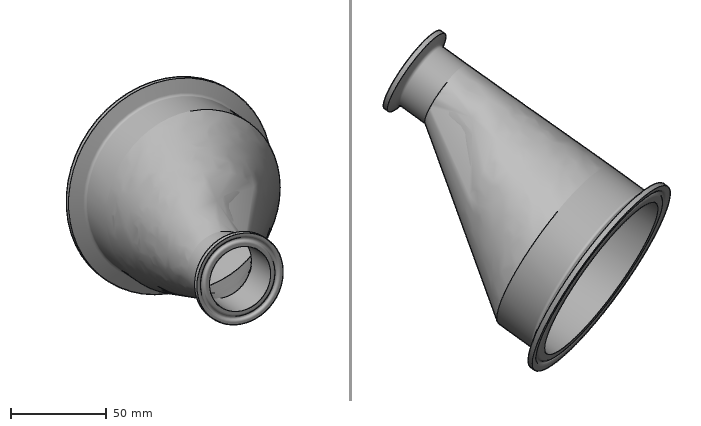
import cadquery as cq
import math

LENGTH = 149.0
LARGE_FERRULE_LENGTH = 30.1
LARGE_FLANGE_D = 119.0
LARGE_TUBE_D = 101.6
LARGE_BORE_D = 97.6
SMALL_FLANGE_D = 50.5
SMALL_TUBE_D = 38.1
SMALL_BORE_D = 35.8
SMALL_FERRULE_LENGTH = 22.6

RIM_THICKNESS = 2.8
CLAMP_ANGLE = math.radians(20)
NECK_FILLET = 2.0

LARGE_GROOVE_D = 109.2
SMALL_GROOVE_D = 43.5
GROOVE_FLOOR_RADIUS = 1.01
GROOVE_LIP_RADIUS = 1.25
GROOVE_WALL_ANGLE = math.radians(73)

SMALL_AXIS_Y = -(LARGE_TUBE_D - SMALL_TUBE_D) / 2


def gasket_groove(groove_d):
    """Ring cutter for the groove in the sealing face at X = 0."""
    middle = groove_d / 2
    floor_half = GROOVE_FLOOR_RADIUS * math.sin(GROOVE_WALL_ANGLE)
    lip_width = GROOVE_LIP_RADIUS * math.sin(GROOVE_WALL_ANGLE)
    lip_depth = GROOVE_LIP_RADIUS * (1 - math.cos(GROOVE_WALL_ANGLE))
    depth = lip_depth + GROOVE_FLOOR_RADIUS * (1 - math.cos(GROOVE_WALL_ANGLE))
    half_width = floor_half + lip_width
    lip_mid_x = GROOVE_LIP_RADIUS * (1 - math.cos(GROOVE_WALL_ANGLE / 2))
    lip_mid_offset = half_width - GROOVE_LIP_RADIUS * math.sin(GROOVE_WALL_ANGLE / 2)
    return (
        cq.Workplane("XY")
        .moveTo(0, middle - half_width)
        .threePointArc((lip_mid_x, middle - lip_mid_offset), (lip_depth, middle - floor_half))
        .threePointArc((depth, middle), (lip_depth, middle + floor_half))
        .threePointArc((lip_mid_x, middle + lip_mid_offset), (0, middle + half_width))
        .close()
        .revolve(360, (0, 0, 0), (1, 0, 0))
    )


def ferrule(flange_d, tube_d, bore_d, length, groove_d):
    """Clamp ferrule about the X axis, with its sealing face at X = 0 and its tube toward +X."""
    flange_r = flange_d / 2
    tube_r = tube_d / 2
    bore_r = bore_d / 2
    corner_x = RIM_THICKNESS + (flange_r - tube_r) * math.tan(CLAMP_ANGLE)
    turn = math.pi / 2 - CLAMP_ANGLE
    tangent = NECK_FILLET * math.tan(turn / 2)
    fillet_start = (
        corner_x - tangent * math.sin(CLAMP_ANGLE),
        tube_r + tangent * math.cos(CLAMP_ANGLE),
    )
    fillet_end = (corner_x + tangent, tube_r)
    fillet_mid = (
        fillet_end[0] - NECK_FILLET * math.sin(turn / 2),
        tube_r + NECK_FILLET * (1 - math.cos(turn / 2)),
    )
    body = (
        cq.Workplane("XY")
        .moveTo(0, bore_r)
        .lineTo(0, flange_r)
        .lineTo(RIM_THICKNESS, flange_r)
        .lineTo(*fillet_start)
        .threePointArc(fillet_mid, fillet_end)
        .lineTo(length, tube_r)
        .lineTo(length, bore_r)
        .close()
        .revolve(360, (0, 0, 0), (1, 0, 0))
    )
    return body.cut(gasket_groove(groove_d))


def skewed_cone(large_d, small_d):
    """Solid between a circle on the main axis and a smaller one on the offset axis."""
    cone_length = LENGTH - LARGE_FERRULE_LENGTH - SMALL_FERRULE_LENGTH
    return (
        cq.Workplane("YZ", origin=(LARGE_FERRULE_LENGTH, 0, 0))
        .circle(large_d / 2)
        .workplane(offset=cone_length)
        .center(SMALL_AXIS_Y, 0)
        .circle(small_d / 2)
        .loft(ruled=True)
    )


large_ferrule = ferrule(LARGE_FLANGE_D, LARGE_TUBE_D, LARGE_BORE_D, LARGE_FERRULE_LENGTH, LARGE_GROOVE_D)

small_ferrule = (
    ferrule(SMALL_FLANGE_D, SMALL_TUBE_D, SMALL_BORE_D, SMALL_FERRULE_LENGTH, SMALL_GROOVE_D)
    .rotate((0, 0, 0), (0, 0, 1), 180)
    .translate((LENGTH, SMALL_AXIS_Y, 0))
)

cone_shell = skewed_cone(LARGE_TUBE_D, SMALL_TUBE_D).cut(skewed_cone(LARGE_BORE_D, SMALL_BORE_D))

result = large_ferrule.union(cone_shell).union(small_ferrule)